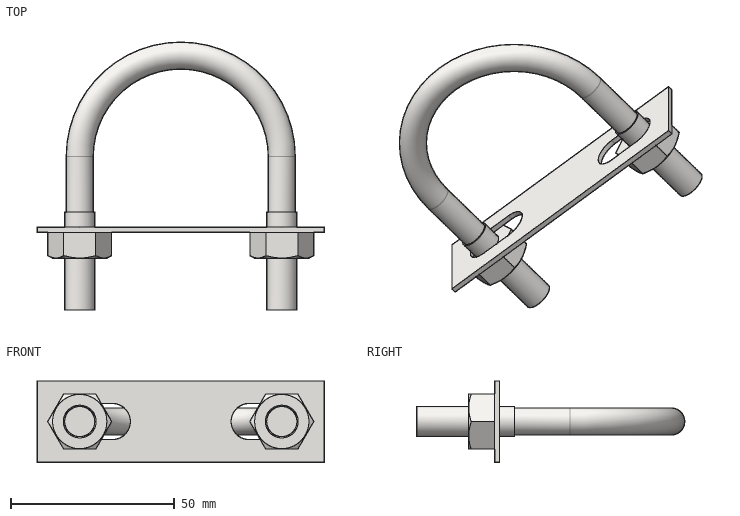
import cadquery as cq
import math


plate_length = 88.0
plate_height = 25.0
plate_thickness = 1.6

total_depth = 82.2
leg_spacing = 61.95
rod_diameter = 8.4
stud_diameter = 9.2
stud_length = 30.0
stud_projection = 23.85

slot_width = 11.0
slot_travel = 10.0

nut_across_flats = 17.0
nut_thickness = 8.0
nut_countersink_diameter = 10.0
nut_face_diameter = 16.6
nut_chamfer_angle = 30.0

leg_x = leg_spacing / 2
stud_end_y = -stud_projection
stud_back_y = stud_end_y + stud_length
bend_center_y = stud_end_y + total_depth - leg_x - rod_diameter / 2


def cylinder_along_y(x, start_y, length, diameter):
    """Cylinder on the line Z = 0, running from start_y toward +Y."""
    return cq.Workplane("XZ", origin=(x, start_y, 0)).circle(diameter / 2).extrude(-length)


def make_u_bolt():
    """Round rod bent into a half circle, with a thicker stud on each leg."""
    path = (
        cq.Workplane("XY")
        .moveTo(-leg_x, stud_back_y)
        .lineTo(-leg_x, bend_center_y)
        .threePointArc((0, bend_center_y + leg_x), (leg_x, bend_center_y))
        .lineTo(leg_x, stud_back_y)
    )
    bolt = cq.Workplane("XZ", origin=(-leg_x, stud_back_y, 0)).circle(rod_diameter / 2).sweep(path)
    for x in (-leg_x, leg_x):
        bolt = bolt.union(cylinder_along_y(x, stud_end_y, stud_length, stud_diameter))
    return bolt


def make_plate():
    """Flat plate with two slots running inward from the studs."""
    slot_center_x = leg_x - slot_travel / 2
    return (
        cq.Workplane("XZ")
        .rect(plate_length, plate_height)
        .pushPoints([(-slot_center_x, 0), (slot_center_x, 0)])
        .slot2D(slot_travel + slot_width, slot_width)
        .extrude(-plate_thickness)
    )


def make_nut(x):
    """Hexagon nut against the plate, chamfered and countersunk on the outer face."""
    corner_radius = nut_across_flats / math.sqrt(3)
    face_radius = nut_face_diameter / 2
    chamfer_depth = (corner_radius - face_radius) * math.tan(math.radians(nut_chamfer_angle))

    hexagon = cq.Workplane("XZ").polygon(6, 2 * corner_radius).extrude(nut_thickness)
    chamfered_envelope = (
        cq.Workplane("XY")
        .moveTo(0, 0)
        .lineTo(corner_radius, 0)
        .lineTo(corner_radius, chamfer_depth - nut_thickness)
        .lineTo(face_radius, -nut_thickness)
        .lineTo(0, -nut_thickness)
        .close()
        .revolve(360, (0, 0, 0), (0, 1, 0))
    )
    bore = cylinder_along_y(0, -nut_thickness, nut_thickness, stud_diameter)
    countersink = cq.Workplane(
        cq.Solid.makeCone(
            nut_countersink_diameter / 2,
            stud_diameter / 2,
            (nut_countersink_diameter - stud_diameter) / 2,
            cq.Vector(0, -nut_thickness, 0),
            cq.Vector(0, 1, 0),
        )
    )
    nut = hexagon.intersect(chamfered_envelope).cut(bore).cut(countersink)
    return nut.translate((x, 0, 0))


u_bolt = make_u_bolt()
plate = make_plate()
nuts = [make_nut(x) for x in (-leg_x, leg_x)]

result = cq.Compound.makeCompound([u_bolt.val(), plate.val(), *[nut.val() for nut in nuts]])